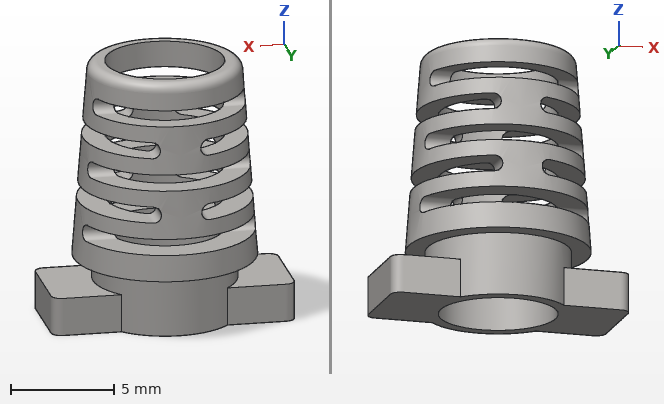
import cadquery as cq

total_height = 12.9
bore_diameter = 5.8
neck_diameter = 7.1
wing_span = 12.0
wing_width = 4.8
wing_height = 1.9
wing_corner_radius = 0.5

head_base_height = 3.1
head_base_diameter = 9.0
head_top_diameter = 7.5
rim_fillet = 0.5

slot_levels = 5
slot_height = 0.8
slot_pitch = 2 * slot_height
first_slot_center = 4.8
bridge_width = 2.0
slot_reach = head_base_diameter


def make_head():
    """Tapered head with a rounded top rim."""
    return (
        cq.Workplane("XY", origin=(0, 0, head_base_height))
        .circle(head_base_diameter / 2)
        .workplane(offset=total_height - head_base_height)
        .circle(head_top_diameter / 2)
        .loft()
        .faces(">Z")
        .edges()
        .fillet(rim_fillet)
    )


def make_base():
    """Round neck with two flat wings along X."""
    neck = cq.Workplane("XY").circle(neck_diameter / 2).extrude(head_base_height)
    wings = (
        cq.Workplane("XY")
        .rect(wing_span, wing_width)
        .extrude(wing_height)
        .edges("|Z")
        .fillet(wing_corner_radius)
    )
    return neck.union(wings)


def make_slot_pair(plane, height):
    """Two round-ended cutters along the plane normal, one each side of a bridge."""
    offset = (bridge_width + slot_reach) / 2
    return (
        cq.Workplane(plane)
        .pushPoints([(-offset, height), (offset, height)])
        .slot2D(slot_reach, slot_height)
        .extrude(slot_reach, both=True)
    )


result = make_base().union(make_head())
result = result.cut(cq.Workplane("XY").circle(bore_diameter / 2).extrude(total_height))

for level in range(slot_levels):
    slot_plane = "YZ" if level % 2 == 0 else "XZ"
    result = result.cut(make_slot_pair(slot_plane, first_slot_center + level * slot_pitch))